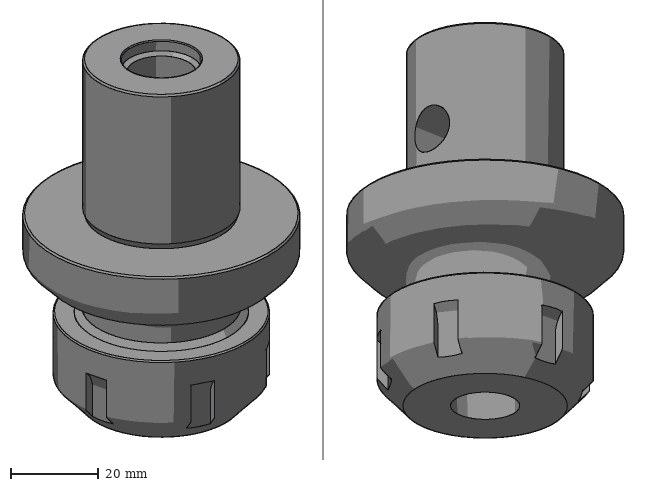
import cadquery as cq
import math

total_height = 88.0

shank_radius = 18.0
shank_edge_chamfer = 0.4
undercut_depth = 0.5
undercut_height = 1.5

flange_radius = 31.8
flange_top = 48.05
flange_bottom = 33.0
flange_edge_chamfer = 0.4
rim_bottom = 37.85
underside_fillet = 2.0

neck_radius = 18.3
neck_fillet = 5.0
spigot_radius = 20.0
spigot_chamfer = spigot_radius - neck_radius
neck_bottom = 24.1
spigot_bottom = 8.8

bore_radius = 7.9
counterbore_radius = 9.15
counterbore_depth = 2.7
counterbore_edge_chamfer = 0.3
seat_height = 0.7

side_hole_radius = 5.6
side_hole_height = 63.6

nut_radius = 24.8
nut_top = 22.8
nut_face_radius = 18.8
nut_cone_height = 6.5
nut_edge_chamfer = 0.35
nut_edge_fillet = 0.7

slot_count = 6
slot_width = 5.9
slot_floor_radius = 22.1
slot_floor_top = 11.2
slot_top = 16.2
slot_start_angle = -6.4


def revolve_profile(profile):
    """Turn a closed (radius, height) outline around the Z axis."""
    return profile.close().revolve(360, (0, 0, 0), (0, 1, 0))


def make_holder_blank():
    """Shank, flange, neck and spigot without their bores."""
    underside_radius = flange_radius - (rim_bottom - flange_bottom)
    tangent = underside_fillet * math.tan(math.radians(22.5))
    diagonal = tangent * math.cos(math.radians(45))
    rim_bulge = underside_fillet * (1 - math.cos(math.radians(22.5)))
    rim_side = underside_fillet * math.sin(math.radians(22.5))
    arc_middle = neck_fillet * (1 - math.cos(math.radians(45)))

    profile = (
        cq.Workplane("XZ")
        .moveTo(0, spigot_bottom)
        .lineTo(spigot_radius, spigot_bottom)
        .lineTo(spigot_radius, neck_bottom - spigot_chamfer)
        .lineTo(neck_radius, neck_bottom)
        .lineTo(neck_radius, flange_bottom - neck_fillet)
        .threePointArc(
            (neck_radius + arc_middle, flange_bottom - arc_middle),
            (neck_radius + neck_fillet, flange_bottom),
        )
        .lineTo(underside_radius - tangent, flange_bottom)
        .threePointArc(
            (underside_radius - tangent + rim_side, flange_bottom + rim_bulge),
            (underside_radius + diagonal, flange_bottom + diagonal),
        )
        .lineTo(flange_radius - diagonal, rim_bottom - diagonal)
        .threePointArc(
            (flange_radius - rim_bulge, rim_bottom + tangent - rim_side),
            (flange_radius, rim_bottom + tangent),
        )
        .lineTo(flange_radius, flange_top - flange_edge_chamfer)
        .lineTo(flange_radius - flange_edge_chamfer, flange_top)
        .lineTo(shank_radius - undercut_depth, flange_top)
        .lineTo(shank_radius, flange_top + undercut_height)
        .lineTo(shank_radius, total_height - shank_edge_chamfer)
        .lineTo(shank_radius - shank_edge_chamfer, total_height)
        .lineTo(0, total_height)
    )
    return revolve_profile(profile)


def make_holder_bore():
    """Through bore with a counterbore, conical seat and edge chamfer at the top."""
    counterbore_bottom = total_height - counterbore_depth
    profile = (
        cq.Workplane("XZ")
        .moveTo(0, spigot_bottom)
        .lineTo(bore_radius, spigot_bottom)
        .lineTo(bore_radius, counterbore_bottom - seat_height)
        .lineTo(counterbore_radius, counterbore_bottom)
        .lineTo(counterbore_radius, total_height - counterbore_edge_chamfer)
        .lineTo(counterbore_radius + counterbore_edge_chamfer, total_height)
        .lineTo(0, total_height)
    )
    return revolve_profile(profile)


def make_side_hole():
    """Radial hole from the bore out through the +Y side of the shank."""
    return (
        cq.Workplane("XZ")
        .center(0, side_hole_height)
        .circle(side_hole_radius)
        .extrude(-flange_radius)
    )


def make_holder():
    return make_holder_blank().cut(make_holder_bore()).cut(make_side_hole())


def make_nut_blank():
    """Nut with a conical lower end, a socket for the spigot and a through bore."""
    blank = revolve_profile(
        cq.Workplane("XZ")
        .moveTo(0, 0)
        .lineTo(nut_face_radius, 0)
        .lineTo(nut_radius, nut_cone_height)
        .lineTo(nut_radius, nut_top)
        .lineTo(0, nut_top)
    )
    blank = blank.faces(">Z").edges().chamfer(nut_edge_chamfer)
    widest_edges = blank.edges(cq.selectors.RadiusNthSelector(-1))
    blank = widest_edges.edges("<Z").fillet(nut_edge_fillet)

    socket = (
        cq.Workplane("XY")
        .workplane(offset=spigot_bottom)
        .circle(spigot_radius)
        .extrude(nut_top - spigot_bottom)
    )
    bore = cq.Workplane("XY").circle(bore_radius).extrude(spigot_bottom)
    return blank.cut(socket).cut(bore)


def make_slot_cutter():
    """One slot on the -X side: a flat floor that sweeps outward along an arc at its top."""
    depth = nut_radius - slot_floor_radius
    rise = slot_top - slot_floor_top
    sweep_radius = (depth**2 + rise**2) / (2 * depth)
    half_angle = math.asin(rise / sweep_radius) / 2
    middle_radius = slot_floor_radius + sweep_radius * (1 - math.cos(half_angle))
    middle_height = slot_floor_top + sweep_radius * math.sin(half_angle)
    outer_radius = flange_radius

    return (
        cq.Workplane("XZ")
        .moveTo(-slot_floor_radius, 0)
        .lineTo(-slot_floor_radius, slot_floor_top)
        .threePointArc((-middle_radius, middle_height), (-nut_radius, slot_top))
        .lineTo(-outer_radius, slot_top)
        .lineTo(-outer_radius, 0)
        .close()
        .extrude(slot_width / 2, both=True)
    )


def make_nut():
    nut = make_nut_blank()
    cutter = make_slot_cutter()
    for index in range(slot_count):
        angle = slot_start_angle + index * 360 / slot_count
        nut = nut.cut(cutter.rotate((0, 0, 0), (0, 0, 1), angle))
    return nut


holder = make_holder()
nut = make_nut()

result = cq.Compound.makeCompound([holder.val(), nut.val()])